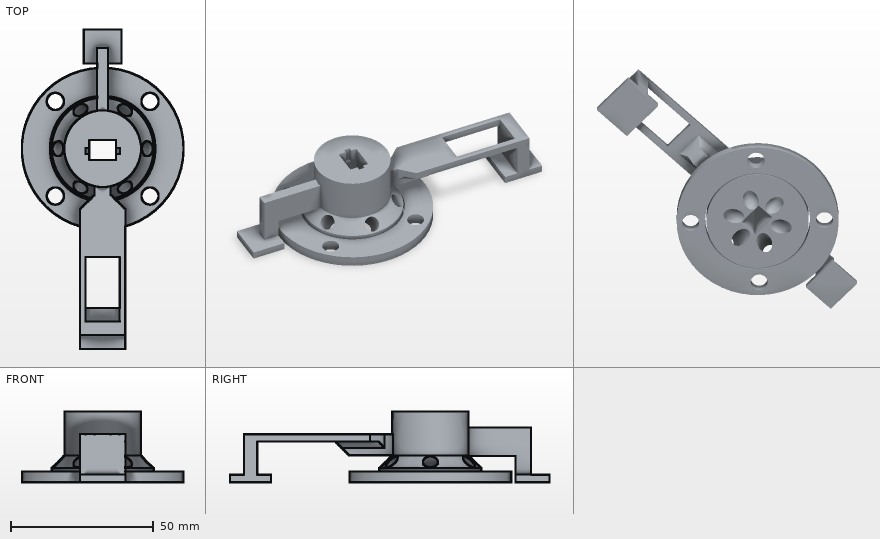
import cadquery as cq
import math

flange_diameter = 57.0
flange_thickness = 3.8
flange_bore = 37.0
bolt_hole_diameter = 6.0
bolt_spacing = 33.3

hub_height = 25.0
hub_diameter = 27.0
skirt_diameter = 36.0
skirt_top = 9.5
skirt_drop = (skirt_diameter - hub_diameter) / 2
rim_top = skirt_top - skirt_drop
vent_diameter = 5.3
vent_count = 6

socket_width = 9.3
socket_front = -3.9
socket_back = 3.0
notch_span = 12.0
notch_front = -1.9
notch_back = 0.2
notch_depth = 5.0

overall_length = 112.5
foot_thickness = 2.7

back_arm_width = 3.8
back_arm_bottom = 9.2
back_arm_top = 19.4
back_leg_inner = 29.9
back_leg_outer = 35.4
back_foot_width = 13.4
back_foot_end = 42.0

front_arm_width = 16.0
front_arm_top = 17.0
front_plate_bottom = 14.3
neck_width = 5.6
neck_end = 16.1
shoulder_end = neck_end + (front_arm_width - neck_width) / 2
window_width = 11.9
window_start = 38.1
front_leg_inner = 60.9
front_leg_outer = 65.6
front_foot_start = 56.0
front_foot_end = overall_length - back_foot_end

rib_flare = 2.1
rib_end = 28.6
rib_bottom = skirt_top


def box_between(width, y_start, y_end, z_bottom, z_top):
    """Box centred on X between two Y positions and two heights."""
    return (
        cq.Workplane("XY")
        .box(width, y_end - y_start, z_top - z_bottom, centered=(True, False, False))
        .translate((0, y_start, z_bottom))
    )


def make_flange():
    """Flat ring with four bolt holes, loose around the skirt."""
    return (
        cq.Workplane("XY")
        .circle(flange_diameter / 2)
        .circle(flange_bore / 2)
        .extrude(flange_thickness)
        .faces(">Z")
        .workplane()
        .rect(bolt_spacing, bolt_spacing, forConstruction=True)
        .vertices()
        .hole(bolt_hole_diameter)
    )


def make_hub():
    """Revolved hub: cylinder, conical skirt and short rim."""
    return (
        cq.Workplane("XZ")
        .polyline([
            (0, 0),
            (skirt_diameter / 2, 0),
            (skirt_diameter / 2, rim_top),
            (hub_diameter / 2, skirt_top),
            (hub_diameter / 2, hub_height),
            (0, hub_height),
        ])
        .close()
        .revolve(360, (0, 0, 0), (0, 1, 0))
    )


def make_back_arm():
    """Narrow arm, its leg and its foot."""
    beam = box_between(back_arm_width, 0, back_leg_outer, back_arm_bottom, back_arm_top)
    leg = box_between(back_arm_width, back_leg_inner, back_leg_outer, 0, back_arm_top)
    foot = box_between(back_foot_width, back_leg_inner, back_foot_end, 0, foot_thickness)
    return beam.union(leg).union(foot)


def make_front_rib():
    """Rib that flares at 45 degrees into the plate and slopes up at its far end."""
    half = neck_width / 2
    flare_bottom = front_plate_bottom - rib_flare
    section = (
        cq.Workplane("XZ")
        .polyline([
            (-half, rib_bottom),
            (half, rib_bottom),
            (half, flare_bottom),
            (half + rib_flare, front_plate_bottom),
            (half + rib_flare, front_arm_top),
            (-half - rib_flare, front_arm_top),
            (-half - rib_flare, front_plate_bottom),
            (-half, flare_bottom),
        ])
        .close()
        .extrude(front_leg_outer)
    )
    slope_end = rib_end + front_plate_bottom - rib_bottom
    side = (
        cq.Workplane("YZ")
        .polyline([
            (0, rib_bottom),
            (-rib_end, rib_bottom),
            (-slope_end, front_plate_bottom),
            (-slope_end, front_arm_top),
            (0, front_arm_top),
        ])
        .close()
        .extrude(front_arm_width / 2, both=True)
    )
    return section.intersect(side)


def make_front_arm():
    """Wide windowed arm with a tapered neck, a rib, a leg and a foot."""
    plan = (
        cq.Workplane("XY")
        .polyline([
            (-neck_width / 2, 0),
            (-neck_width / 2, -neck_end),
            (-front_arm_width / 2, -shoulder_end),
            (-front_arm_width / 2, -front_leg_outer),
            (front_arm_width / 2, -front_leg_outer),
            (front_arm_width / 2, -shoulder_end),
            (neck_width / 2, -neck_end),
            (neck_width / 2, 0),
        ])
        .close()
        .extrude(front_arm_top)
    )
    plate = box_between(front_arm_width, -front_leg_outer, 0, front_plate_bottom, front_arm_top)
    beam = plate.union(make_front_rib()).intersect(plan)
    window = box_between(window_width, -front_leg_inner, -window_start, rib_bottom, front_arm_top)
    leg = box_between(front_arm_width, -front_leg_outer, -front_leg_inner, 0, front_arm_top)
    foot = box_between(front_arm_width, -front_foot_end, -front_foot_start, 0, foot_thickness)
    return beam.cut(window).union(leg).union(foot)


def make_socket():
    """Cutter for the through socket and its blind notches."""
    opening = box_between(socket_width, socket_front, socket_back, 0, hub_height)
    notches = box_between(notch_span, notch_front, notch_back, hub_height - notch_depth, hub_height)
    return opening.union(notches)


def make_vent(angle):
    """Cutter normal to the middle of the skirt, running down and inward to the underside."""
    mid_radius = (hub_diameter + skirt_diameter) / 4
    mid_height = (skirt_top + rim_top) / 2
    outer_overrun = 1.1
    length = mid_height * math.sqrt(2) + vent_diameter
    start = cq.Vector(mid_radius + outer_overrun, 0, mid_height + outer_overrun)
    cutter = cq.Solid.makeCylinder(vent_diameter / 2, length + outer_overrun, start, cq.Vector(-1, 0, -1))
    return cutter.rotate(cq.Vector(0, 0, 0), cq.Vector(0, 0, 1), angle)


def make_rotor():
    """One-piece hub and arms with the socket and vents cut through."""
    rotor = make_hub().union(make_back_arm()).union(make_front_arm()).cut(make_socket())
    for index in range(vent_count):
        rotor = rotor.cut(cq.Workplane(make_vent(index * 360 / vent_count)))
    return rotor


flange = make_flange()
rotor = make_rotor()
result = cq.Compound.makeCompound([flange.val(), rotor.val()])